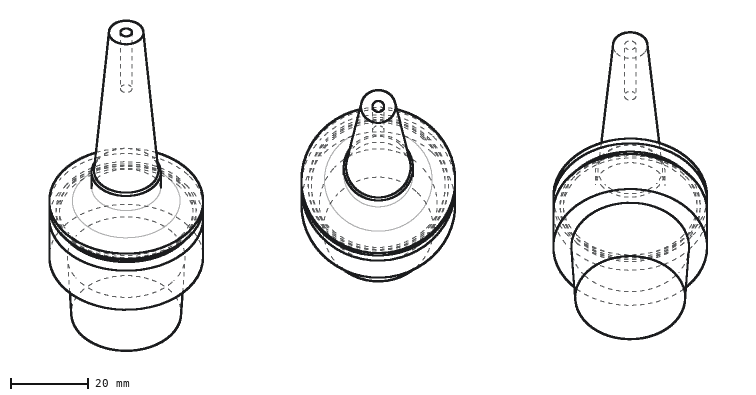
import cadquery as cq
import math

total_height = 100.0
shank_top = 20.0
flange_top = 40.0
body_top = 33.9
groove_bottom = 35.3
groove_top = 36.9
rim_bottom = 38.1
collar_chamfer = 0.6

shank_bottom_radius = 14.3
shank_top_radius = 15.3
flange_radius = 20.0
groove_radius = 17.4
groove_mouth_radius = 18.2
collar_radius = 9.0
tip_radius = 4.5
bore_radius = 1.5

neck_fillet = 5.0
fillet_top = flange_top + neck_fillet
collar_top = 50.8
nose_half_angle = math.radians(4.5)
nose_base_radius = tip_radius + (total_height - collar_top) * math.tan(nose_half_angle)

bore_depth = 20.0

fillet_offset = neck_fillet * (1 - math.sqrt(0.5))
fillet_middle = (collar_radius + fillet_offset, flange_top + fillet_offset)


def make_body():
    """Revolve the half profile (radius, height) about the Z axis."""
    profile = (
        cq.Workplane("XZ")
        .lineTo(shank_bottom_radius, 0)
        .lineTo(shank_top_radius, shank_top)
        .lineTo(flange_radius, shank_top)
        .lineTo(flange_radius, body_top)
        .lineTo(groove_mouth_radius, groove_bottom)
        .lineTo(groove_radius, groove_bottom)
        .lineTo(groove_radius, groove_top)
        .lineTo(groove_mouth_radius, groove_top)
        .lineTo(flange_radius, rim_bottom)
        .lineTo(flange_radius, flange_top)
        .lineTo(collar_radius + neck_fillet, flange_top)
        .threePointArc(fillet_middle, (collar_radius, fillet_top))
        .lineTo(collar_radius, collar_top - collar_chamfer)
        .lineTo(nose_base_radius, collar_top)
        .lineTo(tip_radius, total_height)
        .lineTo(0, total_height)
        .close()
    )
    return profile.revolve(360, (0, 0, 0), (0, 1, 0))


def make_bore():
    """Blind axial hole sunk from the tip."""
    return (
        cq.Workplane("XY")
        .workplane(offset=total_height - bore_depth)
        .circle(bore_radius)
        .extrude(bore_depth)
    )


result = make_body().cut(make_bore())